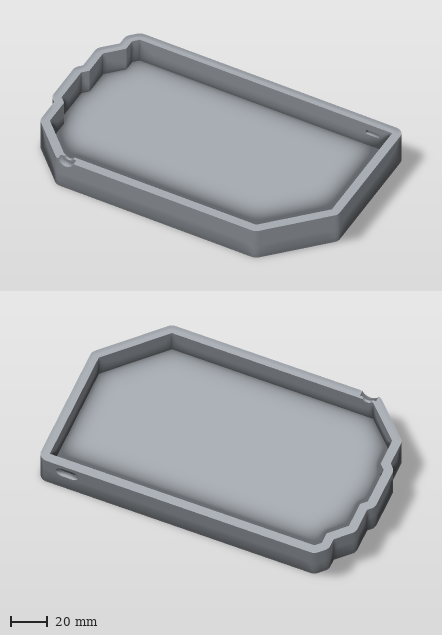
import cadquery as cq

length = 181.0
width = 108.7
height = 19.7

wall = 5.0
floor_thickness = 4.3
recess_depth = 3.5

cavity_left = wall
cavity_right = length - wall
cavity_front = wall
cavity_back = width - wall

front_right_chamfer = 30.2
front_left_chamfer = 19.2
back_left_chamfer = 3.0
tab_step = 3.3
tab_front = 43.6
tab_back = 65.9
shoulder_x = 17.5
shoulder_front = 93.9
side_x = cavity_left + tab_step

notch_x = 31.1
notch_axis_rise = 1.0
notch_outer_radius = 4.9
notch_inner_radius = 2.9

slot_x = 163.7
slot_z = 13.7
slot_length = 8.0
slot_height = 3.0
recess_length = 13.0
recess_height = 7.0


def cavity_outline():
    shoulder_run = shoulder_x - side_x
    points = [
        (cavity_left, tab_front),
        (side_x, tab_front - tab_step),
        (side_x, cavity_front + front_left_chamfer),
        (side_x + front_left_chamfer, cavity_front),
        (cavity_right - front_right_chamfer, cavity_front),
        (cavity_right, cavity_front + front_right_chamfer),
        (cavity_right, cavity_back),
        (shoulder_x + back_left_chamfer, cavity_back),
        (shoulder_x, cavity_back - back_left_chamfer),
        (shoulder_x, shoulder_front),
        (side_x, shoulder_front - shoulder_run),
        (side_x, tab_back + tab_step),
        (cavity_left, tab_back),
    ]
    return cq.Workplane("XY").polyline(points).close()


def tray():
    body = cavity_outline().offset2D(wall, "arc").extrude(height)
    cavity = cavity_outline().extrude(height).translate((0, 0, floor_thickness))
    return body.cut(cavity)


def notch_cylinder(radius, depth):
    axis_start = cq.Workplane("XZ").center(notch_x, height + notch_axis_rise)
    return axis_start.circle(radius).extrude(-depth)


def back_slot():
    outline_plane = cq.Workplane("XZ", origin=(slot_x, width, slot_z))
    opening = outline_plane.rect(slot_length, slot_height).extrude(wall)
    recess = outline_plane.slot2D(recess_length, recess_height).extrude(recess_depth)
    return opening.union(recess)


result = (
    tray()
    .cut(notch_cylinder(notch_outer_radius, recess_depth))
    .cut(notch_cylinder(notch_inner_radius, wall))
    .cut(back_slot())
)